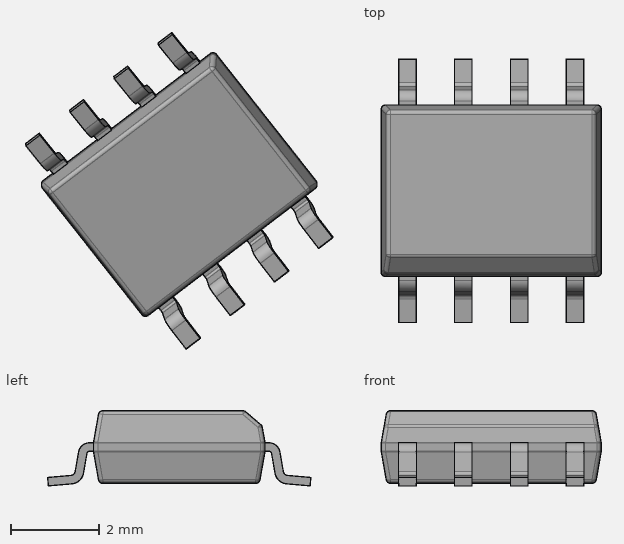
import cadquery as cq
import math

overall_length = 5.98
overall_height = 1.71

package_length = 5.0
package_width = 3.9
package_height = 1.65
band_height = 0.2
draft_angle = 10.0
edge_radius = 0.1

chamfer_setback = 0.34
chamfer_angle = 40.5

leads_per_side = 4
lead_pitch = 1.27
lead_width = 0.4
lead_thickness = 0.2
leg_angle = 10.0
foot_angle = 5.0
leg_middle_y = 2.235
leg_middle_z = 0.49
shoulder_inner_radius = 0.06
ankle_inner_radius = 0.1

package_bottom = overall_height - package_height
half_height = (package_height - band_height) / 2
band_bottom = package_bottom + half_height
band_top = band_bottom + band_height
band_middle = (band_bottom + band_top) / 2
package_face_y = package_width / 2
top_face_edge_y = package_face_y - half_height * math.tan(math.radians(draft_angle))


def drafted_half(start_z, height):
    """Half of the package, tapering away from the band (negative height goes down)."""
    return (
        cq.Workplane("XY", origin=(0, 0, start_z))
        .rect(package_length, package_width)
        .extrude(height, taper=draft_angle)
    )


def cut_pin_one_chamfer(upper_half):
    """Slice off the long top edge on the -Y side, which marks the pin 1 row."""
    chamfer_top_y = top_face_edge_y - chamfer_setback
    run = package_face_y - chamfer_top_y
    drop = run * math.tan(math.radians(chamfer_angle))
    wedge = (
        cq.Workplane("YZ")
        .polyline([
            (-chamfer_top_y, overall_height),
            (-package_face_y, overall_height),
            (-package_face_y, overall_height - drop),
        ])
        .close()
        .extrude(package_length / 2, both=True)
    )
    return upper_half.cut(wedge)


def make_package():
    """Molded package: a straight band between two drafted halves, with every edge rounded."""
    upper = cut_pin_one_chamfer(drafted_half(band_top, half_height))
    lower = drafted_half(band_bottom, -half_height)
    band = (
        cq.Workplane("XY", origin=(0, 0, band_bottom))
        .rect(package_length, package_width)
        .extrude(band_height)
    )
    return band.union(upper).union(lower).edges().fillet(edge_radius)


def make_lead(x):
    """Gull-wing lead centred at x, butting against the +Y side of the band."""
    half = lead_thickness / 2
    leg = math.radians(leg_angle)
    foot = math.radians(foot_angle)
    tip_y = overall_length / 2 - half * math.sin(foot)
    tip_z = half * math.cos(foot)

    def surface(offset):
        """Shoulder, ankle and tip corners of a surface at this offset from the lead's middle."""
        shoulder_z = band_middle + offset
        leg_y = leg_middle_y + offset / math.cos(leg)
        shoulder_y = leg_y - (shoulder_z - leg_middle_z) * math.tan(leg)
        end_y = tip_y + offset * math.sin(foot)
        end_z = tip_z + offset * math.cos(foot)
        foot_z = end_z + (end_y - leg_y) * math.tan(foot)
        ankle_drop = (leg_middle_z - foot_z) / (1 - math.tan(leg) * math.tan(foot))
        ankle_y = leg_y + ankle_drop * math.tan(leg)
        ankle_z = leg_middle_z - ankle_drop
        return [(shoulder_y, shoulder_z), (ankle_y, ankle_z), (end_y, end_z)]

    upper = surface(half)
    lower = surface(-half)
    root_top = (package_face_y, band_middle + half)
    root_bottom = (package_face_y, band_middle - half)
    outline = [root_top, *upper, *reversed(lower), root_bottom]
    lead = (
        cq.Workplane("YZ", origin=(x, 0, 0))
        .polyline(outline)
        .close()
        .extrude(lead_width / 2, both=True)
    )
    bends = [
        (upper[0], shoulder_inner_radius + lead_thickness),
        (lower[0], shoulder_inner_radius),
        (upper[1], ankle_inner_radius),
        (lower[1], ankle_inner_radius + lead_thickness),
    ]
    for (y, z), radius in bends:
        lead = lead.edges(cq.NearestToPointSelector((x, y, z))).fillet(radius)
    return lead


package = make_package()

leads = []
for index in range(leads_per_side):
    lead_x = (index - (leads_per_side - 1) / 2) * lead_pitch
    lead = make_lead(lead_x)
    leads.append(lead.val())
    leads.append(lead.mirror("XZ").val())

result = cq.Compound.makeCompound([package.val(), *leads])